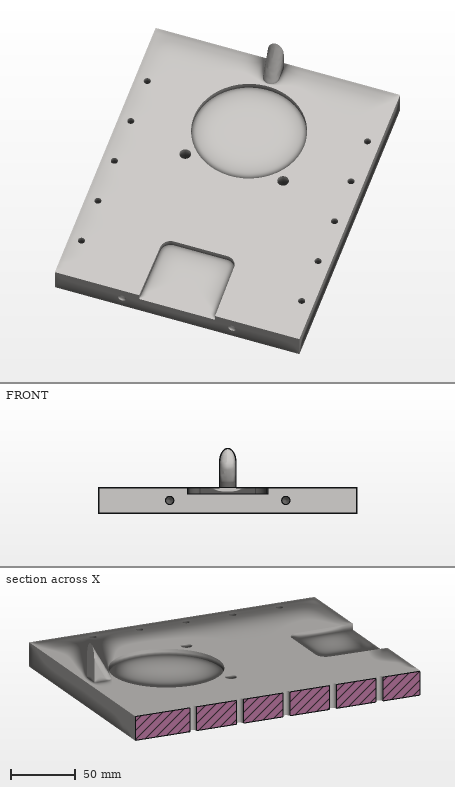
import cadquery as cq
import math

plate_width = 200.0
plate_length = 245.0
plate_thickness = 20.0
front_y = -plate_length / 2
back_y = plate_length / 2

recess_depth = 5.0
round_recess_diameter = 90.0
round_recess_y = back_y - 70.0

tray_front_width = 62.0
tray_back_width = 60.0
tray_length = 57.0
tray_corner_radius = 8.5

side_hole_diameter = 5.5
side_hole_x = 90.0
side_hole_pitch = 40.0
side_hole_count = 5
last_side_hole_y = back_y - 50.0
inner_hole_diameter = 9.0
inner_hole_x = 40.0
inner_hole_y = back_y - 106.4

front_hole_diameter = 6.4
front_hole_x = 45.0
front_hole_z = plate_thickness / 2
front_hole_depth = 30.0
drill_point_angle = 118.0

fin_width = 13.0
fin_base_length = 17.5
fin_slope_angle = 60.0
fin_height = fin_base_length * math.tan(math.radians(fin_slope_angle))
fin_back_y = back_y - 5.0


def make_plate():
    return cq.Workplane("XY").box(plate_width, plate_length, plate_thickness, centered=(True, True, False))


def make_round_recess():
    floor = cq.Workplane("XY", origin=(0, round_recess_y, plate_thickness - recess_depth))
    return floor.circle(round_recess_diameter / 2).extrude(recess_depth)


def make_tray_recess():
    tray_back_y = front_y + tray_length
    floor = cq.Workplane("XY", origin=(0, 0, plate_thickness - recess_depth))
    outline = floor.polyline([
        (-tray_front_width / 2, front_y),
        (tray_front_width / 2, front_y),
        (tray_back_width / 2, tray_back_y),
        (-tray_back_width / 2, tray_back_y),
    ]).close()
    return outline.extrude(recess_depth).edges("|Z and >Y").fillet(tray_corner_radius)


def make_through_holes(points, diameter):
    return cq.Workplane("XY").pushPoints(points).circle(diameter / 2).extrude(plate_thickness)


def make_front_hole(x):
    """Blind hole along +Y ending in a conical drill point."""
    radius = front_hole_diameter / 2
    point_length = radius / math.tan(math.radians(drill_point_angle / 2))
    half_profile = cq.Workplane("XY", origin=(x, front_y, front_hole_z)).polyline([
        (0, 0),
        (radius, 0),
        (radius, front_hole_depth),
        (0, front_hole_depth + point_length),
    ]).close()
    return half_profile.revolve(360, (0, 0, 0), (0, 1, 0))


def make_fin():
    """Round-nosed bar leaning back along the slope, cut off upright at its back."""
    radius = fin_width / 2
    nose_y = fin_back_y - fin_base_length
    footprint = (
        cq.Workplane("XY", origin=(0, 0, plate_thickness))
        .moveTo(-radius, fin_back_y)
        .lineTo(-radius, nose_y + radius)
        .threePointArc((0, nose_y), (radius, nose_y + radius))
        .lineTo(radius, fin_back_y)
        .close()
    )
    lean = cq.Vector(0, fin_base_length, fin_height)
    leaning_bar = cq.Solid.extrudeLinear(footprint.val(), [], lean)
    upright_envelope = (
        cq.Workplane("XY", origin=(0, nose_y, plate_thickness))
        .box(fin_width, fin_base_length, fin_height, centered=(True, False, False))
    )
    return upright_envelope.intersect(cq.Workplane(leaning_bar))


side_hole_points = [
    (side * side_hole_x, last_side_hole_y - row * side_hole_pitch)
    for side in (-1, 1)
    for row in range(side_hole_count)
]
inner_hole_points = [(side * inner_hole_x, inner_hole_y) for side in (-1, 1)]

result = make_plate()
result = result.cut(make_round_recess())
result = result.cut(make_tray_recess())
result = result.cut(make_through_holes(side_hole_points, side_hole_diameter))
result = result.cut(make_through_holes(inner_hole_points, inner_hole_diameter))
for side in (-1, 1):
    result = result.cut(make_front_hole(side * front_hole_x))
result = result.union(make_fin())